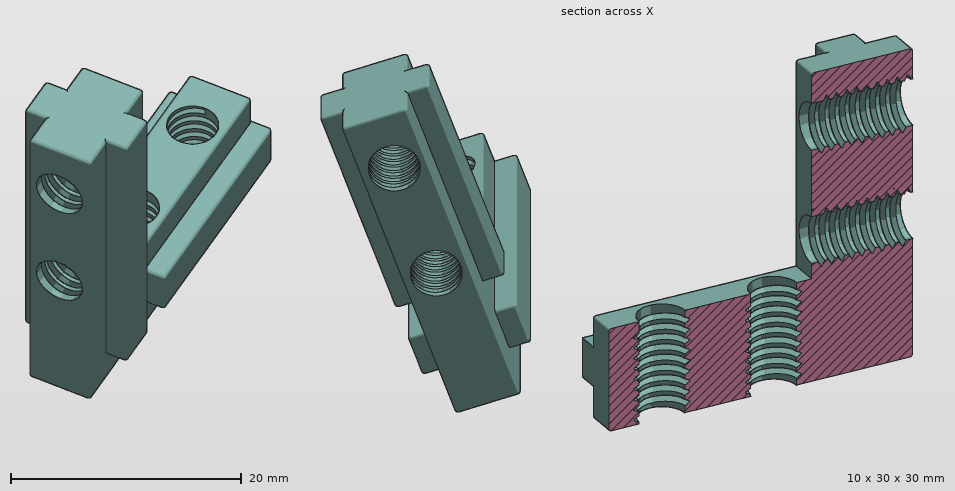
import cadquery as cq
import math

LEG_LENGTH = 30.0
LEG_DEPTH = LEG_LENGTH / 3
CORE_WIDTH = LEG_LENGTH / 5
OVERALL_WIDTH = LEG_DEPTH
RIB_INSET = LEG_LENGTH / 10
RIB_THICKNESS = LEG_DEPTH - 2 * RIB_INSET
EDGE_RADIUS = 0.3
TOLERANCE = 0.003

HOLES_PER_LEG = 2
HOLE_RADIUS = 2.25
HOLE_END_OFFSET = 5.25
HOLE_SPACING = 11.0
THREAD_PITCH = LEG_LENGTH / 30
GROOVE_OPENING = 0.6
GROOVE_TURNS = 9
GROOVE_START = (LEG_DEPTH - GROOVE_TURNS * THREAD_PITCH) / 2
GROOVE_FLANK_ANGLE = 30.0
GROOVE_OVERLAP = 0.12


def box(x_size, y_range, z_range):
    """Box centred on X, spanning the given Y and Z ranges."""
    y_size = y_range[1] - y_range[0]
    z_size = z_range[1] - z_range[0]
    block = cq.Workplane("XY").box(x_size, y_size, z_size, centered=(True, False, False))
    return block.translate((0, y_range[0], z_range[0]))


def is_inner_corner(edge):
    """True for the rib roots and for the corner between the two legs."""
    middle = edge.Center()
    on_core_side = abs(abs(middle.x) - CORE_WIDTH / 2) < TOLERANCE
    beside_rib = any(
        RIB_INSET - TOLERANCE < place < RIB_INSET + RIB_THICKNESS + TOLERANCE
        for place in (middle.y, middle.z)
    )
    between_legs = max(abs(middle.y - LEG_DEPTH), abs(middle.z - LEG_DEPTH)) < TOLERANCE
    return (on_core_side and beside_rib) or between_legs


def is_sharp_rib_edge(edge):
    """True for the one outer edge left sharp: upper end edge of the lying +X rib."""
    middle = edge.Center()
    at_leg_end = abs(middle.y - LEG_LENGTH) < TOLERANCE
    at_rib_top = abs(middle.z - RIB_INSET - RIB_THICKNESS) < TOLERANCE
    return at_leg_end and at_rib_top and middle.x > CORE_WIDTH / 2


def make_body():
    """L-shaped core with a pair of side ribs on each leg, outer edges rounded."""
    full = (0, LEG_LENGTH)
    depth = (0, LEG_DEPTH)
    rib = (RIB_INSET, RIB_INSET + RIB_THICKNESS)
    body = (
        box(CORE_WIDTH, full, depth)
        .union(box(CORE_WIDTH, depth, full))
        .union(box(OVERALL_WIDTH, (LEG_DEPTH, LEG_LENGTH), rib))
        .union(box(OVERALL_WIDTH, rib, (RIB_INSET, LEG_LENGTH)))
        .clean()
    )
    rounded_edges = [
        edge
        for edge in body.edges().vals()
        if not (is_inner_corner(edge) or is_sharp_rib_edge(edge))
    ]
    return body.newObject(rounded_edges).fillet(EDGE_RADIUS)


def make_thread_cutter():
    """Bore and V-groove thread along Z, from Z = 0 down through a leg."""
    bore = cq.Workplane("XY").circle(HOLE_RADIUS).extrude(-LEG_DEPTH)
    flank_slope = math.tan(math.radians(GROOVE_FLANK_ANGLE))
    tip_radius = HOLE_RADIUS + GROOVE_OPENING / 2 / flank_slope
    root_radius = HOLE_RADIUS - GROOVE_OVERLAP
    root_half_height = GROOVE_OPENING / 2 + GROOVE_OVERLAP * flank_slope
    thread_height = GROOVE_TURNS * THREAD_PITCH
    helix = cq.Wire.makeHelix(THREAD_PITCH, thread_height, HOLE_RADIUS, lefthand=True)
    groove = (
        cq.Workplane("XZ")
        .moveTo(root_radius, -root_half_height)
        .lineTo(tip_radius, 0)
        .lineTo(root_radius, root_half_height)
        .close()
        .sweep(cq.Workplane(helix), isFrenet=True)
        .rotate((0, 0, 0), (0, 0, 1), 90)
        .translate((0, 0, -GROOVE_START - thread_height))
    )
    return bore.union(groove)


def cut_threaded_holes(body):
    """Two threaded holes in each leg, mirrored about the plane that swaps the legs (Y = Z)."""
    cutter = make_thread_cutter()
    for index in range(HOLES_PER_LEG):
        position = LEG_LENGTH - HOLE_END_OFFSET - index * HOLE_SPACING
        horizontal_leg_cutter = cutter.translate((0, position, LEG_DEPTH))
        upright_leg_cutter = horizontal_leg_cutter.rotate((0, 0, 0), (0, 1, 1), 180).mirror("YZ")
        body = body.cut(horizontal_leg_cutter).cut(upright_leg_cutter)
    return body


result = cut_threaded_holes(make_body())